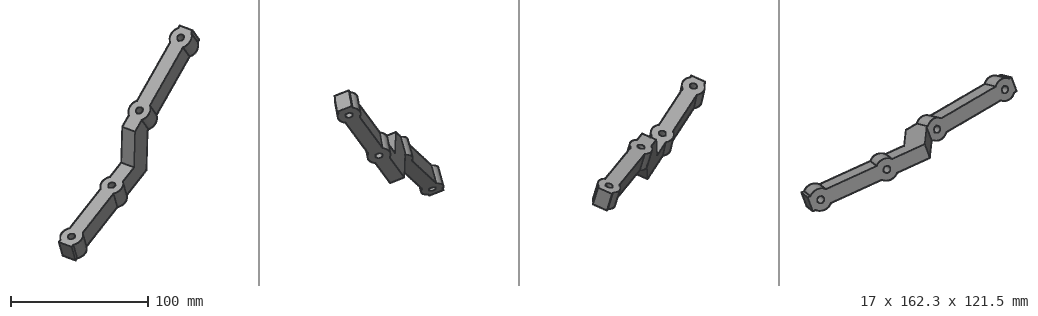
import cadquery as cq
import math

bar_width = 11.5
arm_thickness = 15.3
web_thickness = 16.4

upper_angle = 34.1
lower_angle = 180 + 19.0
upper_length = 88.3
lower_length = 83.9

upper_bend = (-0.8, 11.2)
lower_bend = (-2.1, -19.0)

boss_diameter = 17.0
hole_diameter = 5.4
upper_boss_spacing = 63.3
lower_boss_spacing = 54.0
boss_radius = boss_diameter / 2


def direction(angle):
    """Unit vector in the YZ plane."""
    return (math.cos(math.radians(angle)), math.sin(math.radians(angle)))


def move(point, vector, distance):
    return (point[0] + vector[0] * distance, point[1] + vector[1] * distance)


def meet(point_a, vector_a, point_b, vector_b):
    """Intersection of two lines, each given by a point and a direction."""
    cross = vector_a[0] * vector_b[1] - vector_a[1] * vector_b[0]
    gap = (point_b[0] - point_a[0], point_b[1] - point_a[1])
    distance = (gap[0] * vector_b[1] - gap[1] * vector_b[0]) / cross
    return move(point_a, vector_a, distance)


upper_along = direction(upper_angle)
upper_down = direction(upper_angle - 90)
lower_along = direction(lower_angle)
lower_down = direction(lower_angle + 90)

web_angle = math.degrees(math.atan2(upper_bend[1] - lower_bend[1], upper_bend[0] - lower_bend[0]))
web_along = direction(web_angle)
web_across = direction(web_angle - 90)


def make_bar():
    """Extruded Z-shaped bar, centred on X = 0."""
    upper_end = move(upper_bend, upper_along, upper_length)
    lower_end = move(lower_bend, lower_along, lower_length)
    upper_end_bottom = move(upper_end, upper_down, arm_thickness)
    lower_end_bottom = move(lower_end, lower_down, arm_thickness)
    web_back = move(upper_bend, web_across, web_thickness)
    upper_corner = meet(upper_end_bottom, upper_along, web_back, web_along)
    lower_corner = meet(lower_end_bottom, lower_along, web_back, web_along)
    outline = [
        upper_end,
        upper_bend,
        lower_bend,
        lower_end,
        lower_end_bottom,
        lower_corner,
        upper_corner,
        upper_end_bottom,
    ]
    return cq.Workplane("YZ").polyline(outline).close().extrude(bar_width / 2, both=True)


def make_cylinder(centre, down, diameter):
    """Cylinder through the arm thickness, starting at a (Y, Z) point on its top face."""
    plane = cq.Plane(origin=(0, *centre), xDir=(1, 0, 0), normal=(0, *down))
    return cq.Workplane(plane).circle(diameter / 2).extrude(arm_thickness)


def add_bosses(body, bend, along, down, length, spacing):
    """Two drilled bosses on one arm, the outer one tangent to the arm's end face."""
    outer = length - boss_radius
    for distance in (outer, outer - spacing):
        centre = move(bend, along, distance)
        body = body.union(make_cylinder(centre, down, boss_diameter))
        body = body.cut(make_cylinder(centre, down, hole_diameter))
    return body


result = make_bar()
result = add_bosses(result, upper_bend, upper_along, upper_down, upper_length, upper_boss_spacing)
result = add_bosses(result, lower_bend, lower_along, lower_down, lower_length, lower_boss_spacing)